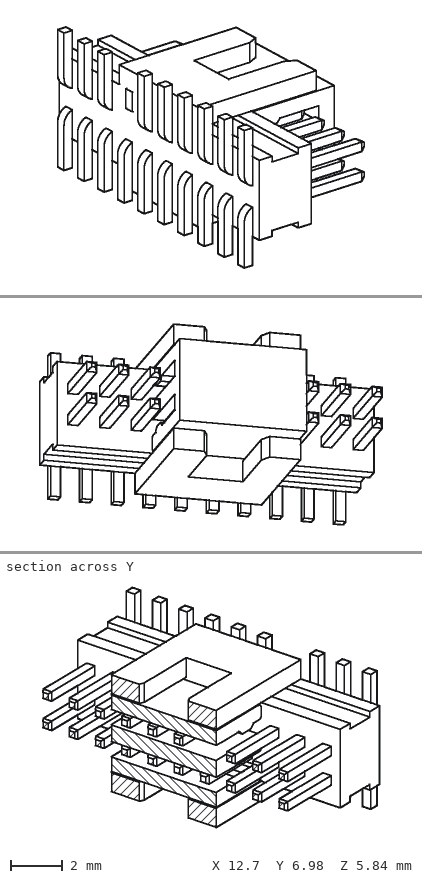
import cadquery as cq

PITCH = 1.27
COLUMNS = 10
KEY_COLUMN = 3
ROW_HEIGHT = PITCH / 2
WIRE = 0.41
LENGTH = PITCH * COLUMNS

DEPTH = 6.98
TAIL_FRONT = -DEPTH / 2
BASE_FRONT = TAIL_FRONT + WIRE
BASE_BACK = BASE_FRONT + 2 * PITCH
PLATE_BACK = 2.62
SHUNT_BACK = DEPTH / 2

BASE_HALF_HEIGHT = 1.7
GROOVE_WIDTH = 1.27
GROOVE_DEPTH = 0.24
FRONT_LAND = 0.62

PLATE_WIDTH = 4 * PITCH
PLATE_OUTER_HEIGHT = 2 * PITCH
PLATE_THICKNESS = PLATE_OUTER_HEIGHT - BASE_HALF_HEIGHT
WINDOW_HALF_WIDTH = 1.09
WINDOW_MOUTH_HALF_WIDTH = 1.31
WINDOW_MOUTH_LENGTH = 0.46

PIN_END = 2.46
TIP_LENGTH = 0.23
TIP_WIDTH = 0.15
TAIL_HEIGHT = 2.92
BEND_RADIUS = 0.57

SHUNT_FRONT = BASE_BACK
SHUNT_HALF_HEIGHT = 1.66
SLOT_END = 2.73
SLOT_INNER_HEIGHT = 0.37
SLOT_OUTER_HEIGHT = 1.02
OUTER_PRONG_RADIUS = 0.22
INNER_PRONG_RADIUS = 0.14
BUMP_MIDDLE = 0.41
BUMP_FLAT = 0.56
BUMP_HEIGHT = SLOT_OUTER_HEIGHT - ROW_HEIGHT - WIRE / 2
SELECT_MARGIN = 0.01

PLUG_BOTTOM = ROW_HEIGHT + WIRE / 2
PLUG_HEIGHT = 0.84
PLUG_DEPTH = WIRE


def block(x_range, y_range, z_range):
    """Box between two limits along each axis."""
    (x0, x1), (y0, y1), (z0, z1) = x_range, y_range, z_range
    return cq.Workplane("XY").box(x1 - x0, y1 - y0, z1 - z0, centered=False).translate((x0, y0, z0))


def with_mirror(half):
    """Join a shape and its mirror image below the middle plane."""
    return half.union(half.mirror("XY"))


def column_x(column):
    """X position of a pin column, counted from 0 at the -X end."""
    return (column - (COLUMNS - 1) / 2) * PITCH


def make_base():
    """Block along the whole header, grooved along its top and bottom."""
    span = (-LENGTH / 2, LENGTH / 2)
    base = block(span, (BASE_FRONT, BASE_BACK), (-BASE_HALF_HEIGHT, BASE_HALF_HEIGHT))
    groove_front = BASE_FRONT + FRONT_LAND
    groove = block(
        span,
        (groove_front, groove_front + GROOVE_WIDTH),
        (BASE_HALF_HEIGHT - GROOVE_DEPTH, BASE_HALF_HEIGHT),
    )
    return base.cut(with_mirror(groove))


def make_guide_plate():
    """Upper guide plate with a window that widens at its open end."""
    half_width = PLATE_WIDTH / 2
    taper_start = PLATE_BACK - WINDOW_MOUTH_LENGTH
    outline = [
        (-half_width, BASE_FRONT),
        (half_width, BASE_FRONT),
        (half_width, PLATE_BACK),
        (WINDOW_MOUTH_HALF_WIDTH, PLATE_BACK),
        (WINDOW_HALF_WIDTH, taper_start),
        (WINDOW_HALF_WIDTH, BASE_BACK),
        (-WINDOW_HALF_WIDTH, BASE_BACK),
        (-WINDOW_HALF_WIDTH, taper_start),
        (-WINDOW_MOUTH_HALF_WIDTH, PLATE_BACK),
        (-half_width, PLATE_BACK),
    ]
    plate = cq.Workplane("XY").workplane(offset=BASE_HALF_HEIGHT)
    return plate.polyline(outline).close().extrude(PLATE_THICKNESS)


def make_pin():
    """Pin of the upper row at X = 0, with a tapered end and a tail bent upwards."""
    low = ROW_HEIGHT - WIRE / 2
    high = ROW_HEIGHT + WIRE / 2
    shank_end = PIN_END - TIP_LENGTH
    wire = (
        cq.Workplane("YZ")
        .moveTo(shank_end, low)
        .lineTo(TAIL_FRONT + BEND_RADIUS, low)
        .radiusArc((TAIL_FRONT, low + BEND_RADIUS), BEND_RADIUS)
        .lineTo(TAIL_FRONT, TAIL_HEIGHT)
        .lineTo(BASE_FRONT, TAIL_HEIGHT)
        .lineTo(BASE_FRONT, high)
        .lineTo(shank_end, high)
        .close()
        .extrude(WIRE / 2, both=True)
    )
    tip = (
        cq.Workplane("XZ", origin=(0, shank_end, ROW_HEIGHT))
        .rect(WIRE, WIRE)
        .workplane(offset=-TIP_LENGTH)
        .rect(TIP_WIDTH, TIP_WIDTH)
        .loft()
    )
    return wire.union(tip)


def make_key_plug():
    """Small block beside the missing pin, flush with the front of the header."""
    x = column_x(KEY_COLUMN)
    return block(
        (x - WIRE / 2, x + WIRE / 2),
        (BASE_FRONT, BASE_FRONT + PLUG_DEPTH),
        (PLUG_BOTTOM, PLUG_BOTTOM + PLUG_HEIGHT),
    )


def make_header(key_plug):
    """Base, guide plates and pins as one solid, with a pocket for the key plug."""
    header = make_base().union(with_mirror(make_guide_plate()))
    upper_pin = make_pin()
    lower_pin = upper_pin.mirror("XY")
    for column in range(COLUMNS):
        header = header.union(lower_pin.translate((column_x(column), 0, 0)))
        if column != KEY_COLUMN:
            header = header.union(upper_pin.translate((column_x(column), 0, 0)))
    return header.cut(key_plug)


def make_slot():
    """Upper slot of the shunt, narrowed by a contact bump on its outer side."""
    bump_start = BUMP_MIDDLE - BUMP_FLAT / 2
    bump_end = BUMP_MIDDLE + BUMP_FLAT / 2
    bump_level = SLOT_OUTER_HEIGHT - BUMP_HEIGHT
    outline = [
        (SHUNT_FRONT, SLOT_INNER_HEIGHT),
        (SLOT_END, SLOT_INNER_HEIGHT),
        (SLOT_END, SLOT_OUTER_HEIGHT),
        (bump_end + BUMP_HEIGHT, SLOT_OUTER_HEIGHT),
        (bump_end, bump_level),
        (bump_start, bump_level),
        (bump_start - BUMP_HEIGHT, SLOT_OUTER_HEIGHT),
        (SHUNT_FRONT, SLOT_OUTER_HEIGHT),
    ]
    return cq.Workplane("YZ").polyline(outline).close().extrude(PLATE_WIDTH / 2, both=True)


def prong_end_edge(height):
    """Selector for the edge at the given height on the ends of the prongs."""
    middle = cq.Vector(0, SHUNT_FRONT, height)
    margin = cq.Vector(SELECT_MARGIN, SELECT_MARGIN, SELECT_MARGIN)
    return cq.selectors.BoxSelector((middle - margin).toTuple(), (middle + margin).toTuple())


def make_shunt():
    """Shunt between the guide plates, with rounded prong ends."""
    body = block(
        (-PLATE_WIDTH / 2, PLATE_WIDTH / 2),
        (SHUNT_FRONT, SHUNT_BACK),
        (-SHUNT_HALF_HEIGHT, SHUNT_HALF_HEIGHT),
    )
    shunt = body.cut(with_mirror(make_slot()))
    rounded_edges = [
        (SHUNT_HALF_HEIGHT, OUTER_PRONG_RADIUS),
        (SLOT_OUTER_HEIGHT, INNER_PRONG_RADIUS),
        (SLOT_INNER_HEIGHT, INNER_PRONG_RADIUS),
    ]
    for height, radius in rounded_edges:
        for side in (1, -1):
            shunt = shunt.edges(prong_end_edge(side * height)).fillet(radius)
    return shunt


key_plug = make_key_plug()
header = make_header(key_plug)
shunt = make_shunt()

result = cq.Compound.makeCompound([header.val(), shunt.val(), key_plug.val()])